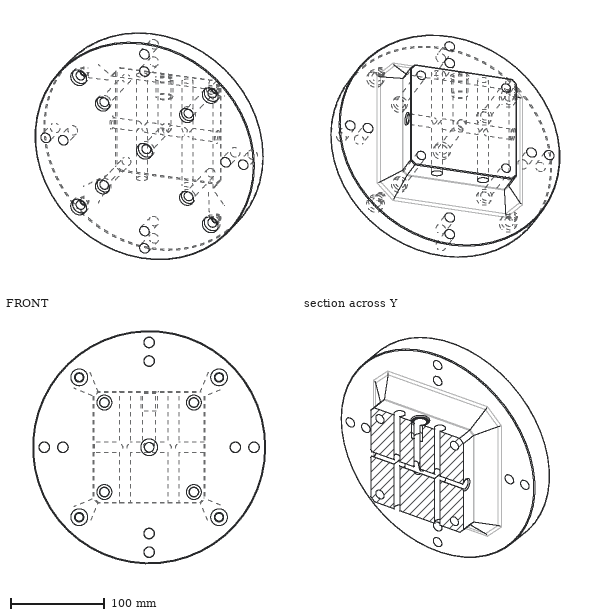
import cadquery as cq
import math


disc_diameter = 250.0
disc_thickness = 30.0
disc_edge_chamfer = 1.0

total_depth = 77.0
block_width = 120.0
block_corner_chamfer = 5.0
block_edge_chamfer = 1.0
foot_height = 20.3
foot_angle = 45.0
neck_fillet = 1.5
foot_fillet = 5.0
foot_corner_chamfer = block_corner_chamfer + (2 - math.sqrt(2)) * foot_height
block_front = disc_thickness + foot_height
block_depth = total_depth - block_front

ring_hole_diameter = 11.0
ring_radii = (92.5, 112.5)

bolt_spacing = 96.0
bolt_diameter = 10.0
bolt_head_diameter = 16.0
bolt_head_depth = 6.0

rim_hole_spacing = 150.0
rim_counterbore_diameter = 18.0
rim_counterbore_depth = 6.0
rim_thread_diameter = 10.0
rim_drill_diameter = 8.5
rim_thread_depth = 18.0
rim_drill_depth = 22.0

center_counterbore_diameter = 18.0
center_counterbore_depth = 6.0
center_hole_diameter = 10.2
center_hole_depth = 72.0

cross_hole_y = 64.5
side_hole_spacing = 52.0
side_hole_diameter = 12.0
bore_diameter = 11.2
bore_mouth_diameter = 14.0

port_y = 63.5
port_mouth_diameter = 20.4
port_diameter = 18.0
port_drill_diameter = 14.0
port_mouth_depth = (port_mouth_diameter - port_diameter) / 2

sleeve_top = block_width / 2 - port_mouth_depth
sleeve_length = 20.0
sleeve_bottom = sleeve_top - sleeve_length
sleeve_mouth_diameter = 15.7

drill_tip_angle = 118.0
corner_signs = [(1, 1), (1, -1), (-1, 1), (-1, -1)]


def tip_length(diameter):
    """Length of the conical end that a drill of this diameter leaves."""
    return diameter / 2 / math.tan(math.radians(drill_tip_angle / 2))


def front_plane(y):
    """Plane across the disc axis at depth y, with its normal along +Y."""
    return cq.Plane(origin=(0, y, 0), xDir=(1, 0, 0), normal=(0, 1, 0))


def cylinder_along_y(x, z, diameter, start, end):
    return cq.Workplane(front_plane(start)).center(x, -z).circle(diameter / 2).extrude(end - start)


def square_pattern(spacing):
    return [(sx * spacing / 2, sz * spacing / 2) for sx, sz in corner_signs]


def octagon(y, half_width, corner_chamfer):
    """Square with its corners cut off, drawn across the disc axis at depth y."""
    short = half_width - corner_chamfer
    points = []
    for sx, sz in [(1, 1), (-1, 1), (-1, -1), (1, -1)]:
        pair = [(sx * half_width, sz * short), (sx * short, sz * half_width)]
        points += pair if sx * sz > 0 else pair[::-1]
    return cq.Workplane(front_plane(y)).polyline(points).close()


def rim_hole(x, z):
    profile = [
        (0, 0),
        (rim_counterbore_diameter / 2, 0),
        (rim_counterbore_diameter / 2, rim_counterbore_depth),
        (rim_thread_diameter / 2, rim_counterbore_depth),
        (rim_thread_diameter / 2, rim_thread_depth),
        (rim_drill_diameter / 2, rim_thread_depth),
        (rim_drill_diameter / 2, rim_drill_depth),
        (0, rim_drill_depth + tip_length(rim_drill_diameter)),
    ]
    hole = cq.Workplane("XY").polyline(profile).close().revolve(360, (0, 0, 0), (0, 1, 0))
    return hole.translate((x, 0, z))


def make_disc():
    return cylinder_along_y(0, 0, disc_diameter, 0, disc_thickness).edges().chamfer(disc_edge_chamfer)


def cross_bore():
    """Bore along X through the block, with a countersink at each mouth."""
    half = block_width / 2
    radius = bore_diameter / 2
    mouth = bore_mouth_diameter / 2
    sink = mouth - radius
    profile = [
        (-half, 0),
        (-half, mouth),
        (-half + sink, radius),
        (half - sink, radius),
        (half, mouth),
        (half, 0),
    ]
    bore = cq.Workplane("XY").polyline(profile).close().revolve(360, (0, 0, 0), (1, 0, 0))
    return bore.translate((0, cross_hole_y, 0))


def revolved_about_port(profile):
    """Body turned about the vertical port axis from points given as (radius, z)."""
    body = cq.Workplane("XZ").polyline(profile).close().revolve(360, (0, 0, 0), (0, 1, 0))
    return body.translate((0, port_y, 0))


def port():
    top = block_width / 2
    radius = port_diameter / 2
    drill = port_drill_diameter / 2
    profile = [
        (0, top),
        (port_mouth_diameter / 2, top),
        (radius, sleeve_top),
        (radius, sleeve_bottom),
        (drill, sleeve_bottom),
        (drill, 0),
        (0, 0),
    ]
    return revolved_about_port(profile)


def make_sleeve():
    outside = port_diameter / 2
    inside = port_drill_diameter / 2
    mouth = sleeve_mouth_diameter / 2
    profile = [
        (inside, sleeve_bottom),
        (outside, sleeve_bottom),
        (outside, sleeve_top),
        (mouth, sleeve_top),
        (inside, sleeve_top - (mouth - inside)),
    ]
    return revolved_about_port(profile)


def make_block():
    """Block and its foot, without holes."""
    half = block_width / 2
    block = octagon(block_front, half, block_corner_chamfer).extrude(block_depth)
    block = block.faces(">Y").edges().chamfer(block_edge_chamfer)
    foot = octagon(disc_thickness, half + foot_height, foot_corner_chamfer)
    return block.union(foot.extrude(foot_height, taper=foot_angle))


def side_holes():
    return (
        cq.Workplane("XY", origin=(0, cross_hole_y, 0))
        .pushPoints([(-side_hole_spacing / 2, 0), (side_hole_spacing / 2, 0)])
        .circle(side_hole_diameter / 2)
        .extrude(block_width, both=True)
    )


def edges_at_depth(body, y):
    """Straight edges around the block that lie at depth y."""
    margin = 0.1
    reach = block_width
    corner = cq.Vector(-reach, y - margin, -reach)
    return body.edges(cq.selectors.BoxSelector(corner, cq.Vector(reach, y + margin, reach))).edges("%LINE")


def make_flange():
    flange = make_disc().union(make_block())
    flange = edges_at_depth(flange, disc_thickness).fillet(foot_fillet)
    flange = edges_at_depth(flange, block_front).fillet(neck_fillet)
    for radius in ring_radii:
        for x, z in [(radius, 0), (-radius, 0), (0, radius), (0, -radius)]:
            flange = flange.cut(cylinder_along_y(x, z, ring_hole_diameter, 0, disc_thickness))
    for x, z in square_pattern(bolt_spacing):
        flange = flange.cut(cylinder_along_y(x, z, bolt_head_diameter, 0, bolt_head_depth))
        flange = flange.cut(cylinder_along_y(x, z, bolt_diameter, 0, total_depth))
    for x, z in square_pattern(rim_hole_spacing):
        flange = flange.cut(rim_hole(x, z))
    flange = flange.cut(cylinder_along_y(0, 0, center_counterbore_diameter, 0, center_counterbore_depth))
    flange = flange.cut(cylinder_along_y(0, 0, center_hole_diameter, 0, center_hole_depth))
    return flange.cut(side_holes()).cut(cross_bore()).cut(port())


flange = make_flange()
sleeve = make_sleeve()
result = cq.Compound.makeCompound([flange.val(), sleeve.val()])